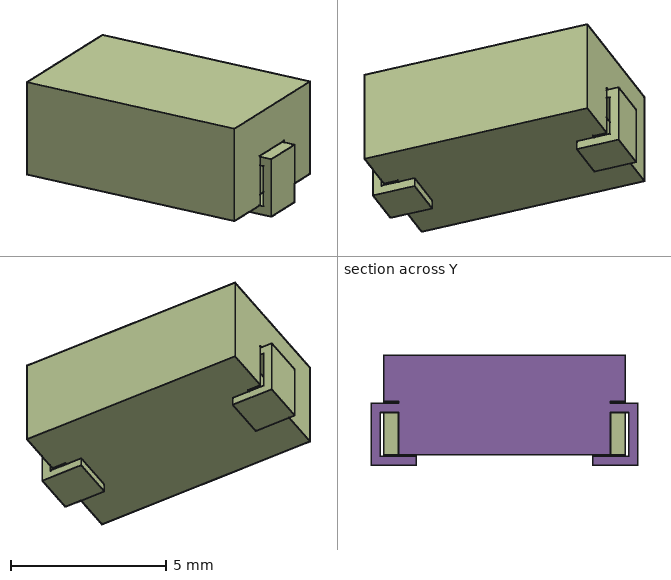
import cadquery as cq

total_length = 8.6
total_height = 3.55

body_length = 7.8
body_width = 4.75
body_height = 3.22
body_bottom = total_height - body_height

lead_width = 1.46
lead_thickness = 0.3
lead_height = 2.0
foot_length = 1.46

recess_depth = 0.48
side_clearance = 0.035
top_clearance = 0.05
recess_width = lead_width + 2 * side_clearance
recess_top = lead_height + top_clearance

body = cq.Workplane("XY").workplane(offset=body_bottom).box(
    body_length, body_width, body_height, centered=(True, True, False)
)


def recess(side):
    """Cutter for one end recess: side is -1 or +1 along X."""
    center_x = side * (body_length - recess_depth) / 2
    height = recess_top - body_bottom
    return (
        cq.Workplane("XY", origin=(center_x, 0, body_bottom))
        .box(recess_depth, recess_width, height, centered=(True, True, False))
    )



def lead(side):
    """C-shaped lead at one end: side is -1 or +1 along X."""
    outer = total_length / 2
    root = body_length / 2 - recess_depth
    inner = outer - lead_thickness
    foot_end = outer - foot_length
    profile = [
        (foot_end, 0),
        (outer, 0),
        (outer, lead_height),
        (root, lead_height),
        (root, lead_height - lead_thickness),
        (inner, lead_height - lead_thickness),
        (inner, lead_thickness),
        (foot_end, lead_thickness),
    ]
    points = [(side * x, z) for x, z in profile]
    return cq.Workplane("XZ").polyline(points).close().extrude(lead_width / 2, both=True)


result = body
for end in (-1, 1):
    result = result.cut(recess(end)).union(lead(end))